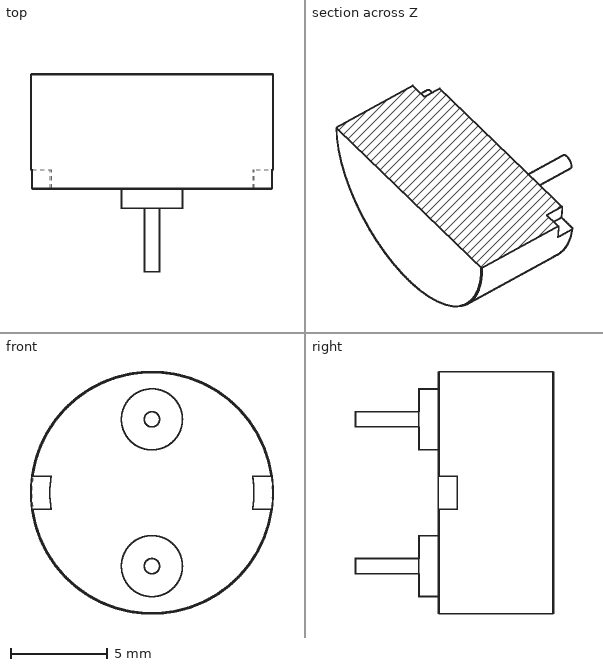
import cadquery as cq

housing_diameter = 12.6
housing_depth = 6.0
edge_chamfer = 0.05

notch_width = 1.73
notch_depth = 1.0
notch_inner_radius = 5.3

standoff_diameter = 3.18
standoff_height = 1.0
pin_diameter = 0.8
pin_length = 3.3
pin_spacing = 7.62
pin_heights = [-pin_spacing / 2, pin_spacing / 2]


def cylinder_along_y(diameter, start_y, length, z=0.0):
    """Cylinder that runs from start_y toward -Y, with its axis at height z."""
    return (
        cq.Workplane("XZ", origin=(0, start_y, z))
        .circle(diameter / 2)
        .extrude(length)
    )


def make_rim_notches():
    """Bar across the mounting face, less its core, leaving one notch at each end."""
    bar = (
        cq.Workplane("XZ", origin=(0, notch_depth, 0))
        .rect(2 * housing_diameter, notch_width)
        .extrude(2 * notch_depth)
    )
    core = cylinder_along_y(2 * notch_inner_radius, notch_depth, 2 * notch_depth)
    return bar.cut(core)


def make_housing():
    """Chamfered disc with two rim notches and two moulded standoffs."""
    body = cylinder_along_y(housing_diameter, housing_depth, housing_depth)
    body = body.faces("<Y or >Y").edges().chamfer(edge_chamfer)
    body = body.cut(make_rim_notches())
    for z in pin_heights:
        body = body.union(cylinder_along_y(standoff_diameter, 0, standoff_height, z))
    return body


def make_pin(z):
    """Round pin that stands on the end face of a standoff."""
    return cylinder_along_y(pin_diameter, -standoff_height, pin_length, z)


housing = make_housing()
pins = [make_pin(z) for z in pin_heights]

result = cq.Compound.makeCompound([housing.val(), *[pin.val() for pin in pins]])